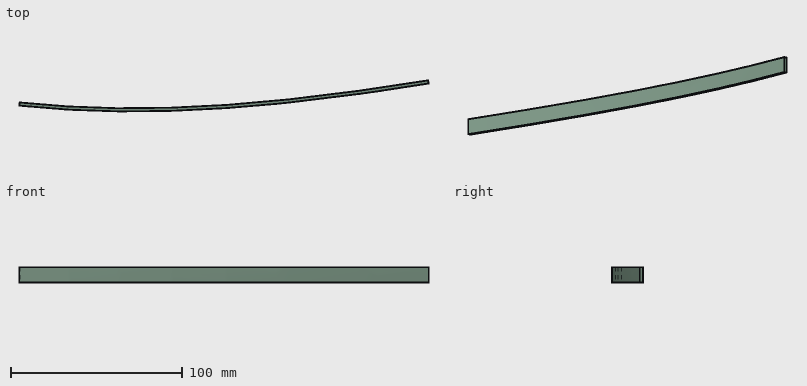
import cadquery as cq
import math

strip_height = 9.0
strip_thickness = 2.0

inner_span = 238.64
inner_rise = 12.93
start_slope = -0.107
end_slope = 0.161


def inner_edge():
    """Cubic Bezier with the given slopes at its ends, bent more tightly towards -X."""
    handle = inner_span / 3
    start = cq.Vector(0, 0)
    start_handle = cq.Vector(handle, start_slope * handle)
    end_handle = cq.Vector(inner_span - handle, inner_rise - end_slope * handle)
    end = cq.Vector(inner_span, inner_rise)
    return cq.Edge.makeBezier([start, start_handle, end_handle, end])


def offset_outward(point, slope):
    """Move a point of the inner face square across the strip, to the outer (-Y) face."""
    angle = math.atan(slope)
    across = cq.Vector(math.sin(angle), -math.cos(angle))
    return point + across * strip_thickness


def outer_edge(inner):
    """Smooth curve one thickness away from the inner edge, with the same end directions."""
    sample_count = 9
    points = []
    for index in range(sample_count):
        fraction = index / (sample_count - 1)
        direction = inner.tangentAt(fraction)
        points.append(offset_outward(inner.positionAt(fraction), direction.y / direction.x))
    return cq.Edge.makeSpline(points, tangents=[inner.tangentAt(0), inner.tangentAt(1)])


def curved_strip():
    """Close the two curves with square-cut ends and extrude the section along Z."""
    inner = inner_edge()
    outer = outer_edge(inner)
    start_cut = cq.Edge.makeLine(outer.startPoint(), inner.startPoint())
    end_cut = cq.Edge.makeLine(inner.endPoint(), outer.endPoint())
    outline = cq.Wire.assembleEdges([inner, end_cut, outer, start_cut])
    return cq.Solid.extrudeLinear(outline, [], cq.Vector(0, 0, strip_height))


result = cq.Workplane(curved_strip())